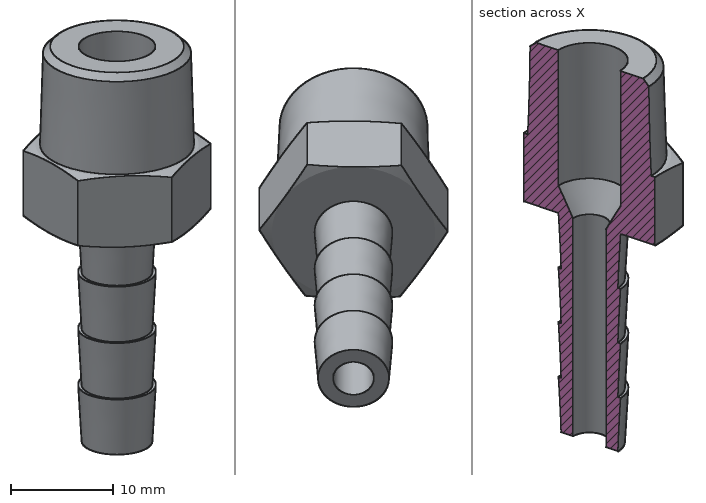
import cadquery as cq
import math

total_length = 42.0
barb_count = 4
barb_pitch = 6.0
hex_height = 7.55
hex_base_z = barb_count * barb_pitch
hex_top_z = hex_base_z + hex_height

barb_tip_diameter = 6.97
barb_diameter = 7.65

hex_across_flats = 16.0
hex_across_corners = hex_across_flats / math.cos(math.radians(30))
hex_chamfer_angle = 15.0

thread_base_diameter = 15.1
thread_top_diameter = 14.55
thread_chamfer_width = 0.7
thread_chamfer_height = 0.67

bore_diameter = 4.0
wide_bore_diameter = 7.5
cone_angle = 60.0


def cone_frustum(bottom_diameter, top_diameter, bottom_z, height):
    """Frustum about the Z axis."""
    profile = [
        (0, bottom_z),
        (bottom_diameter / 2, bottom_z),
        (top_diameter / 2, bottom_z + height),
        (0, bottom_z + height),
    ]
    return cq.Workplane("XZ").polyline(profile).close().revolve(360, (0, 0), (0, 1))


def hose_tail():
    """Stack of barbs, each widening toward the hexagon."""
    tail = cone_frustum(barb_tip_diameter, barb_diameter, 0, barb_pitch)
    for index in range(1, barb_count):
        barb_z = index * barb_pitch
        tail = tail.union(cone_frustum(barb_tip_diameter, barb_diameter, barb_z, barb_pitch))
    return tail


def hexagon():
    """Hexagonal grip with its corners turned off conically at both ends."""
    grip = cq.Workplane("XY").workplane(offset=hex_base_z).polygon(6, hex_across_corners).extrude(hex_height)
    flat_radius = hex_across_flats / 2
    corner_radius = hex_across_corners / 2
    chamfer_drop = (corner_radius - flat_radius) * math.tan(math.radians(hex_chamfer_angle))
    turned_profile = [
        (0, hex_base_z),
        (flat_radius, hex_base_z),
        (corner_radius, hex_base_z + chamfer_drop),
        (corner_radius, hex_top_z - chamfer_drop),
        (flat_radius, hex_top_z),
        (0, hex_top_z),
    ]
    turned = cq.Workplane("XZ").polyline(turned_profile).close().revolve(360, (0, 0), (0, 1))
    return grip.intersect(turned)


def threaded_end():
    """Slightly tapered spigot with a chamfered mouth."""
    taper_height = total_length - hex_top_z - thread_chamfer_height
    spigot = cone_frustum(thread_base_diameter, thread_top_diameter, hex_top_z, taper_height)
    mouth_diameter = thread_top_diameter - 2 * thread_chamfer_width
    chamfer = cone_frustum(
        thread_top_diameter, mouth_diameter, total_length - thread_chamfer_height, thread_chamfer_height
    )
    return spigot.union(chamfer)


def bore():
    """Through hole opening through a cone into the wide bore above it."""
    cone_height = (wide_bore_diameter - bore_diameter) / 2 / math.tan(math.radians(cone_angle / 2))
    cone_top_z = hex_base_z + cone_height
    through = cq.Workplane("XY").circle(bore_diameter / 2).extrude(total_length)
    cone = cone_frustum(bore_diameter, wide_bore_diameter, hex_base_z, cone_height)
    wide = (
        cq.Workplane("XY")
        .workplane(offset=cone_top_z)
        .circle(wide_bore_diameter / 2)
        .extrude(total_length - cone_top_z)
    )
    return through.union(cone).union(wide)


result = hose_tail().union(hexagon()).union(threaded_end()).cut(bore())